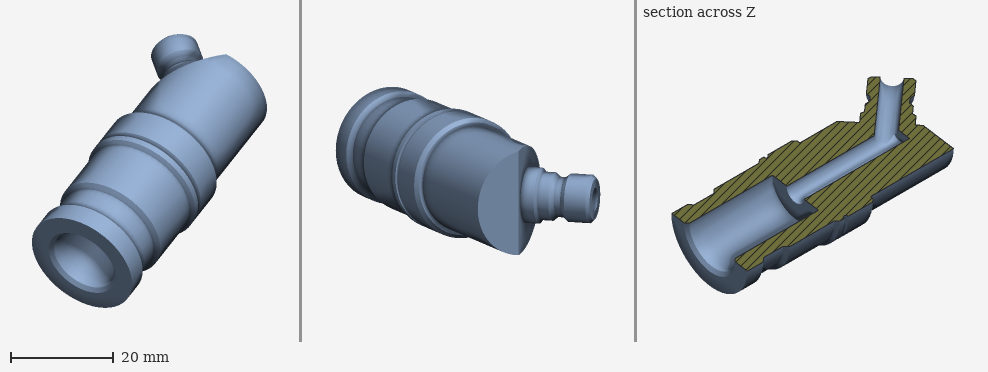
import cadquery as cq
import math


mouth_radius = 11.25
neck_radius = 10.35
collar_radius = 12.0
shank_radius = 10.5

rim_end = 4.1
neck_start = 5.05
neck_end = 10.05
barrel_start = 10.95
barrel_end = 22.55
collar_start = 23.3
collar_end = 32.5
collar_chamfer = 0.75
shank_end = 54.0

groove_start = 24.5
groove_end = 25.55
groove_depth = 0.6
groove_fillet = 0.5

slant_drop = 11.9

bore_radius = 6.8
bore_chamfer = 0.75
bore_depth = 22.15
channel_radius = 2.5
channel_end = 49.4
nozzle_bore_radius = 2.3

nozzle_base_x = -3.6
nozzle_root = 1.25
base_radius = 5.5
base_height = 2.65
base_cone_end = 3.2
nozzle_radius = 4.75
waist_radius = 3.95
shoulder_end = 5.4
waist_start = 6.35
waist_end = 7.6
head_start = 8.55
nozzle_length = 13.55
tip_chamfer = 0.7


def revolve_profile(points):
    """Revolve (radius, station) points about the Y axis."""
    return cq.Workplane("XY").polyline(points).close().revolve(360, (0, 0, 0), (0, 1, 0))


def make_groove():
    floor_radius = collar_radius - groove_depth
    fillet_end = groove_start + groove_fillet
    fillet_sag = groove_fillet * (1 - math.sqrt(0.5))
    return (
        cq.Workplane("XY")
        .moveTo(collar_radius, groove_start)
        .lineTo(floor_radius + groove_fillet, groove_start)
        .threePointArc((floor_radius + fillet_sag, groove_start + fillet_sag), (floor_radius, fillet_end))
        .lineTo(collar_radius, groove_end)
        .close()
        .revolve(360, (0, 0, 0), (0, 1, 0))
    )


def make_body():
    body = revolve_profile([
        (0, 0),
        (mouth_radius, 0),
        (mouth_radius, rim_end),
        (neck_radius, neck_start),
        (neck_radius, neck_end),
        (mouth_radius, barrel_start),
        (mouth_radius, barrel_end),
        (collar_radius, collar_start),
        (collar_radius, collar_end - collar_chamfer),
        (collar_radius - collar_chamfer, collar_end),
        (shank_radius, collar_end),
        (shank_radius, shank_end),
        (0, shank_end),
    ])
    slant_wedge = (
        cq.Workplane("XY")
        .moveTo(-shank_radius, shank_end - slant_drop)
        .lineTo(-shank_radius + slant_drop, shank_end)
        .lineTo(-shank_radius, shank_end)
        .close()
        .extrude(shank_radius, both=True)
    )
    return body.cut(slant_wedge).cut(make_groove())


def place_on_slant(shape):
    """Turn a shape built along Y onto the nozzle axis, at the slanted face."""
    base_y = shank_end - slant_drop + shank_radius + nozzle_base_x
    return shape.rotate((0, 0, 0), (0, 0, 1), 45).translate((nozzle_base_x, base_y, 0))


def make_nozzle():
    return place_on_slant(revolve_profile([
        (0, -nozzle_root),
        (base_radius, -nozzle_root),
        (base_radius, base_height),
        (nozzle_radius, base_cone_end),
        (nozzle_radius, shoulder_end),
        (waist_radius, waist_start),
        (waist_radius, waist_end),
        (nozzle_radius, head_start),
        (nozzle_radius, nozzle_length - tip_chamfer),
        (nozzle_radius - tip_chamfer, nozzle_length),
        (0, nozzle_length),
    ]))


def make_passages():
    straight = revolve_profile([
        (0, 0),
        (bore_radius + bore_chamfer, 0),
        (bore_radius, bore_chamfer),
        (bore_radius, bore_depth),
        (channel_radius, bore_depth),
        (channel_radius, channel_end),
        (0, channel_end),
    ])
    axis_crossing = nozzle_base_x * math.sqrt(2)
    slanted = place_on_slant(revolve_profile([
        (0, axis_crossing),
        (nozzle_bore_radius, axis_crossing),
        (nozzle_bore_radius, nozzle_length),
        (0, nozzle_length),
    ]))
    return straight.union(slanted)


result = make_body().union(make_nozzle()).cut(make_passages())